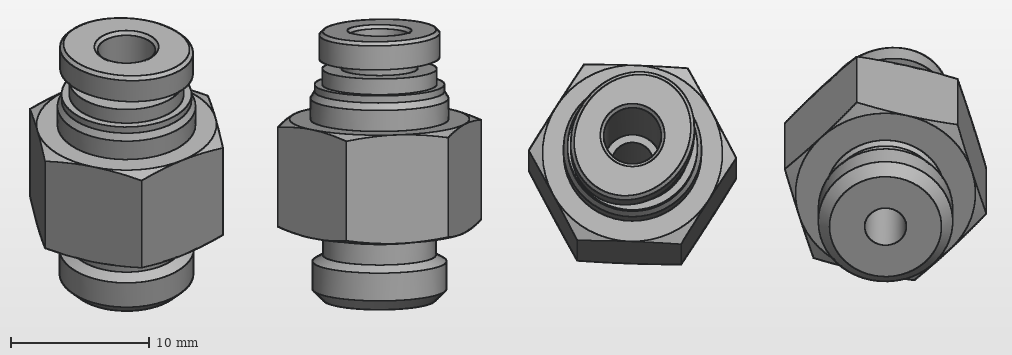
import cadquery as cq
import math

hex_bottom = 5.3
hex_top = 13.29
housing_top = 16.99
head_bottom = 17.78
total_height = 19.8

across_flats = 13.0
across_corners = across_flats / math.cos(math.radians(30))
hex_corner_drop = 0.34

spigot_diameter = 9.72
spigot_end_chamfer = 0.81
spigot_cylinder_top = 2.85
neck_diameter = 8.2
neck_bottom = 3.3
neck_top = 4.81
flare_diameter = 8.63

collar_diameter = 10.0
collar_cylinder_top = 14.83
ring_diameter = 9.4
ring_bottom = 15.33
ring_top = 15.84
lip_diameter = 8.3

flow_diameter = 3.0
tube_diameter = 4.15
tube_mouth_diameter = 4.65
tube_mouth_depth = 0.25

stem_diameter = 5.5
stem_end = 9.9
head_length_x = 9.78
head_length_y = 8.6
head_chamfer = 0.25


def revolved(profile):
    """Solid of revolution about Z from (radius, height) points."""
    return cq.Workplane("XZ").polyline(profile).close().revolve(360, (0, 0), (0, 1))


def make_hexagon():
    """Hexagonal prism with its corners turned to a cone at both ends."""
    hex_height = hex_top - hex_bottom
    prism = (
        cq.Workplane("XY")
        .workplane(offset=hex_bottom)
        .polygon(6, across_corners)
        .extrude(hex_height)
    )
    flat_radius = across_flats / 2
    corner_radius = across_corners / 2
    turned_envelope = revolved([
        (0, hex_bottom),
        (flat_radius, hex_bottom),
        (corner_radius, hex_bottom + hex_corner_drop),
        (corner_radius, hex_top - hex_corner_drop),
        (flat_radius, hex_top),
        (0, hex_top),
    ])
    return prism.intersect(turned_envelope)


def make_spigot():
    """Lower end: chamfered cylinder, undercut neck and flare into the hexagon."""
    spigot_radius = spigot_diameter / 2
    neck_radius = neck_diameter / 2
    return revolved([
        (0, 0),
        (spigot_radius - spigot_end_chamfer, 0),
        (spigot_radius, spigot_end_chamfer),
        (spigot_radius, spigot_cylinder_top),
        (neck_radius, neck_bottom),
        (neck_radius, neck_top),
        (flare_diameter / 2, hex_bottom),
        (0, hex_bottom),
    ])


def make_collar():
    """Upper end: cylinder, cone, ring and lip, stepping inwards."""
    collar_radius = collar_diameter / 2
    ring_radius = ring_diameter / 2
    lip_radius = lip_diameter / 2
    return revolved([
        (0, hex_top),
        (collar_radius, hex_top),
        (collar_radius, collar_cylinder_top),
        (ring_radius, ring_bottom),
        (ring_radius, ring_top),
        (lip_radius, ring_top),
        (lip_radius, housing_top),
        (0, housing_top),
    ])


def make_housing():
    """Fitting body with a flow passage and a wider socket for the sleeve stem."""
    flow_passage = cq.Workplane("XY").circle(flow_diameter / 2).extrude(housing_top)
    stem_socket = (
        cq.Workplane("XY")
        .workplane(offset=stem_end)
        .circle(stem_diameter / 2)
        .extrude(housing_top - stem_end)
    )
    outside = make_hexagon().union(make_spigot()).union(make_collar())
    return outside.cut(flow_passage).cut(stem_socket)


def make_release_sleeve():
    """Round stem with an elliptical push head and a bore for the tube."""
    stem = (
        cq.Workplane("XY")
        .workplane(offset=stem_end)
        .circle(stem_diameter / 2)
        .extrude(head_bottom - stem_end)
    )
    head = (
        cq.Workplane("XY")
        .workplane(offset=head_bottom)
        .ellipse(head_length_x / 2, head_length_y / 2)
        .extrude(total_height - head_bottom)
        .faces(">Z")
        .edges()
        .chamfer(head_chamfer)
    )
    mouth_bottom = total_height - tube_mouth_depth
    tube_bore = revolved([
        (0, stem_end),
        (tube_diameter / 2, stem_end),
        (tube_diameter / 2, mouth_bottom),
        (tube_mouth_diameter / 2, total_height),
        (0, total_height),
    ])
    return stem.union(head).cut(tube_bore)


housing = make_housing()
release_sleeve = make_release_sleeve()

result = cq.Compound.makeCompound([housing.val(), release_sleeve.val()])